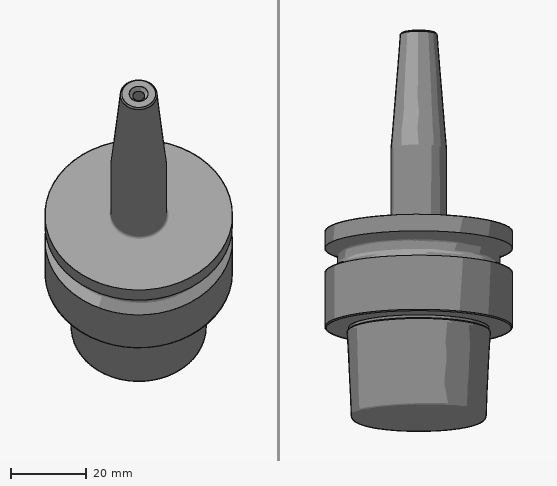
import cadquery as cq
import math

total_height = 104.9
collar_bottom = 24.9
collar_top = 51.0
nose_taper_start = 73.2

taper_top_radius = 19.1
taper_top = 23.1
taper_end_radius = 18.0
end_round = 1.3
relief_radius = 18.8
relief_bottom = 23.8

collar_diameter = 50.0
collar_radius = collar_diameter / 2
collar_chamfer = 0.3
groove_root_radius = 21.7
groove_middle = 43.17
groove_mouth_width = 6.6
groove_wall_angle = 26.0
groove_root_round = 1.0

shank_radius = 7.5
shank_root_round = 1.0
tip_radius = 4.9
tip_chamfer = 0.4

bore_radius = 1.6
countersink_radius = 2.5
bore_depth = 10.5


def make_body():
    """Revolve the outer profile about the tool axis."""
    round_mid = end_round * math.sqrt(0.5)
    end_face_radius = taper_end_radius - end_round
    fillet_mid = shank_root_round * (1 - math.sqrt(0.5))
    return (
        cq.Workplane("XZ")
        .lineTo(end_face_radius, 0)
        .threePointArc(
            (end_face_radius + round_mid, end_round - round_mid),
            (taper_end_radius, end_round),
        )
        .lineTo(taper_top_radius, taper_top)
        .lineTo(taper_top_radius, relief_bottom)
        .lineTo(relief_radius, relief_bottom + taper_top_radius - relief_radius)
        .lineTo(relief_radius, collar_bottom)
        .lineTo(collar_radius - collar_chamfer, collar_bottom)
        .lineTo(collar_radius, collar_bottom + collar_chamfer)
        .lineTo(collar_radius, collar_top)
        .lineTo(shank_radius + shank_root_round, collar_top)
        .threePointArc(
            (shank_radius + fillet_mid, collar_top + fillet_mid),
            (shank_radius, collar_top + shank_root_round),
        )
        .lineTo(shank_radius, nose_taper_start)
        .lineTo(tip_radius, total_height - tip_chamfer)
        .lineTo(tip_radius - tip_chamfer, total_height)
        .lineTo(0, total_height)
        .close()
        .revolve(360, (0, 0), (0, 1))
    )


def make_groove():
    """Ring with sloping walls and a rounded root."""
    mouth_half = groove_mouth_width / 2
    wall_rise = (collar_radius - groove_root_radius) * math.tan(math.radians(groove_wall_angle))
    root_half = mouth_half - wall_rise
    ring = (
        cq.Workplane("XZ")
        .moveTo(collar_radius, groove_middle - mouth_half)
        .lineTo(groove_root_radius, groove_middle - root_half)
        .lineTo(groove_root_radius, groove_middle + root_half)
        .lineTo(collar_radius, groove_middle + mouth_half)
        .close()
        .revolve(360, (0, 0), (0, 1))
    )
    root_edges = cq.selectors.RadiusNthSelector(0)
    return ring.edges(root_edges).fillet(groove_root_round)


def make_bore():
    """Blind bore with a 45 degree countersink."""
    countersink_depth = countersink_radius - bore_radius
    return (
        cq.Workplane("XZ")
        .moveTo(0, total_height)
        .lineTo(countersink_radius, total_height)
        .lineTo(bore_radius, total_height - countersink_depth)
        .lineTo(bore_radius, total_height - bore_depth)
        .lineTo(0, total_height - bore_depth)
        .close()
        .revolve(360, (0, 0), (0, 1))
    )


result = make_body().cut(make_groove()).cut(make_bore())